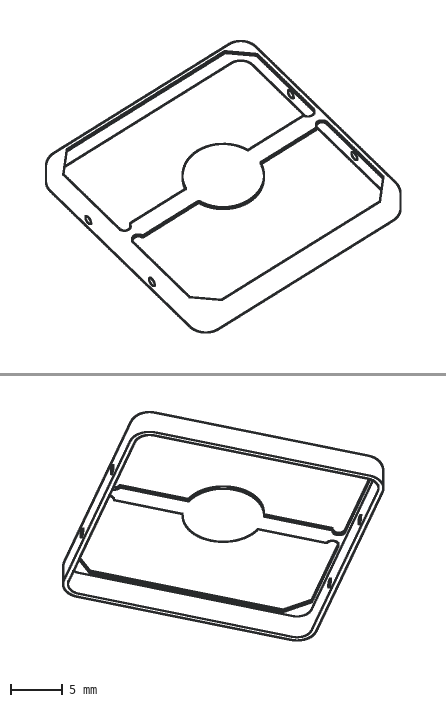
import cadquery as cq

side = 25.9
height = 3.0
rim_width = 0.8
lower_wall = 0.5
corner_radius = 2.0
inner_side = side - 2 * rim_width
inner_radius = corner_radius - rim_width
rim_flat = 0.003
rim_radius = rim_width - rim_flat
cavity_side = side - 2 * lower_wall
cavity_radius = corner_radius - lower_wall

web_thickness = 0.3
web_bottom = height - web_thickness
disc_diameter = 8.0
strap_width = 2.0
neck_width = 0.95
notch_radius = 0.62
notch_from_rim = 0.62
gusset_leg = 2.23

hole_diameter = 0.9
hole_spacing = 10.0
hole_height = 1.22


def rounded_block(width, radius, block_height=height):
    """Square block with rounded vertical corners, standing on Z = 0."""
    block = cq.Workplane("XY").box(width, width, block_height, centered=(True, True, False))
    return block.edges("|Z").fillet(radius)


def make_frame():
    """Frame with a rounded top rim that overhangs the thinner wall below it."""
    outer = rounded_block(side, corner_radius).faces(">Z").edges().fillet(rim_radius)
    opening = rounded_block(inner_side, inner_radius)
    cavity = rounded_block(cavity_side, cavity_radius, web_bottom)
    return outer.cut(opening).cut(cavity)


def make_strap():
    """Central disc on a strap that narrows to a neck at each rim."""
    plane = cq.Workplane("XY").workplane(offset=web_bottom)
    strap_length = inner_side + rim_width
    strap = plane.rect(strap_width, strap_length).extrude(web_thickness)
    notch_x = neck_width / 2 + notch_radius
    notch_y = inner_side / 2 - notch_from_rim
    notches = plane.rect(2 * notch_x, 2 * notch_y, forConstruction=True).vertices()
    strap = strap.cut(notches.circle(notch_radius).extrude(web_thickness))
    strap = strap.intersect(rounded_block(inner_side, inner_radius))
    return strap.union(plane.circle(disc_diameter / 2).extrude(web_thickness))


def make_gussets():
    """Triangular webs across the four inner corners."""
    half = inner_side / 2
    blank = rounded_block(inner_side, inner_radius)
    gussets = cq.Workplane("XY")
    for x_sign in (-1, 1):
        for y_sign in (-1, 1):
            gusset = (
                cq.Workplane("XY")
                .workplane(offset=web_bottom)
                .polyline([
                    (x_sign * half, y_sign * half),
                    (x_sign * (half - gusset_leg), y_sign * half),
                    (x_sign * half, y_sign * (half - gusset_leg)),
                ])
                .close()
                .extrude(web_thickness)
            )
            gussets = gussets.add(gusset.intersect(blank))
    return gussets.combine()


def make_pin_holes():
    return (
        cq.Workplane("XZ")
        .pushPoints([(-hole_spacing / 2, hole_height), (hole_spacing / 2, hole_height)])
        .circle(hole_diameter / 2)
        .extrude(side, both=True)
    )


result = make_frame().union(make_strap()).union(make_gussets()).cut(make_pin_holes())